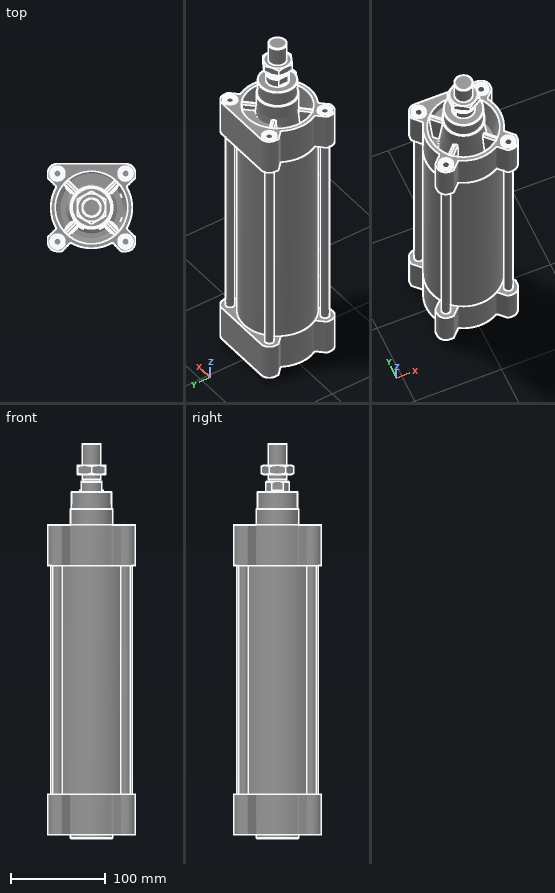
import cadquery as cq
import math


head_width = 93.0
head_length = 43.0
head_face_span = 327.6
rear_face_z = -head_face_span

bolt_offset = 36.0
half_width = head_width / 2
ear_radius = half_width - bolt_offset
ear_flank_start = 31.5
barrel_diameter = 86.0
tube_diameter = 86.4
ear_fillet = 2.0
tie_rod_diameter = 10.0

recess_depth = 33.0
top_recess_depth = 9.0
recess_rim_radius = 38.4
recess_floor_radius = 33.6
hub_top_radius = 22.5
hub_floor_radius = 26.5
rib_ridge_depth = 1.5
rib_shoulder_depth = 2.9
rib_shoulder_width = 5.2
recess_fillet = 1.2
rib_base_width = 9.0

sleeve_hole_diameter = 15.8
sleeve_diameter = 15.0
sleeve_gap_depth = 2.0
sleeve_thread_diameter = 10.0
sleeve_core_diameter = 8.0
sleeve_chamfer = 1.25
sleeve_bore_depth = 20.0

collar_diameter = 45.0
collar_height = 17.0
neck_base_diameter = 43.0
neck_top_diameter = 42.4
neck_top_z = 35.3
collar_chamfer = 0.6
rear_collar_height = 4.0
rear_collar_chamfer = 1.0

rod_diameter = 25.0
rod_shoulder_z = 46.0
rod_shoulder_chamfer = 1.0
rod_end_length = 40.0
rod_end_z = rod_shoulder_z + rod_end_length
rod_inner_z = -head_length
thread_diameter = 20.0
thread_chamfer = 0.8
undercut_diameter = 17.9
undercut_length = 2.5
flat_width = 22.0
flat_clearance = 1.2
flat_bottom_z = neck_top_z + flat_clearance

nut_width = 30.0
nut_height = 10.0
nut_bottom_z = 53.2
nut_face_diameter = 29.4
nut_chamfer_angle = 30.0


def cylinder(diameter, bottom_z, top_z):
    """Round bar on the Z axis between two heights."""
    return cq.Workplane("XY").workplane(offset=bottom_z).circle(diameter / 2).extrude(top_z - bottom_z)


def bolt_points():
    return [(sx * bolt_offset, sy * bolt_offset) for sx in (-1, 1) for sy in (-1, 1)]


def corner_ear(quarter_turns, bottom_z):
    """Corner of a head: rounded outside, with two 45 degree flanks running in to the barrel."""
    inner = ear_flank_start - half_width / 2
    mid = bolt_offset + ear_radius * math.sqrt(0.5)
    return (
        cq.Workplane("XY").workplane(offset=bottom_z)
        .moveTo(half_width / 2, inner)
        .lineTo(half_width, ear_flank_start)
        .lineTo(half_width, bolt_offset)
        .threePointArc((mid, mid), (bolt_offset, half_width))
        .lineTo(ear_flank_start, half_width)
        .lineTo(inner, half_width / 2)
        .close()
        .extrude(head_length)
        .rotate((0, 0, 0), (0, 0, 1), 90 * quarter_turns)
    )


def flank_end_edges(body, bottom_z):
    """Vertical edges at the outer corner and the root of every flank the flat +Y side leaves open."""
    lead = half_width - ear_flank_start
    root_near = (math.sqrt(barrel_diameter ** 2 / 2 - lead ** 2) - lead) / 2
    mid_z = bottom_z + head_length / 2
    edges = []
    for far, near in ((half_width, ear_flank_start), (root_near + lead, root_near)):
        for side in (-1, 1):
            for x, y in ((far, near), (far, -near), (near, -far)):
                nearest = cq.selectors.NearestToPointSelector((side * x, y, mid_z))
                edges += body.edges("|Z").edges(nearest).vals()
    return edges


def head(bottom_z):
    """Round barrel with four ears; the +Y side is filled out to one flat face."""
    body = cylinder(barrel_diameter, bottom_z, bottom_z + head_length)
    for quarter_turns in range(4):
        body = body.union(corner_ear(quarter_turns, bottom_z))
    flat_side = (
        cq.Workplane("XY").workplane(offset=bottom_z)
        .center(0, (half_width + ear_flank_start) / 2)
        .rect(2 * bolt_offset, half_width - ear_flank_start)
        .extrude(head_length)
    )
    body = body.union(flat_side)
    return body.newObject(flank_end_edges(body, bottom_z)).fillet(ear_fillet)


def recess_ring():
    """Annular recess with drafted walls, open at the head face."""
    return (
        cq.Workplane("XZ")
        .polyline([(hub_top_radius, 0), (recess_rim_radius, 0), (recess_floor_radius, -recess_depth),
                   (hub_floor_radius, -recess_depth)])
        .close()
        .revolve(360, (0, 0, 0), (0, 1, 0))
    )


def recess_ribs():
    """Two crossed diagonal walls that part the recess into four pockets: gabled crest, drafted sides."""
    wall = (
        cq.Workplane("XZ")
        .polyline([
            (-rib_base_width / 2, -recess_depth),
            (rib_base_width / 2, -recess_depth),
            (rib_shoulder_width / 2, -rib_shoulder_depth),
            (0, -rib_ridge_depth),
            (-rib_shoulder_width / 2, -rib_shoulder_depth),
        ])
        .close()
        .extrude(barrel_diameter / 2, both=True)
    )
    axis = ((0, 0, 0), (0, 0, 1))
    return wall.rotate(*axis, 45).union(wall.rotate(*axis, -45))


def recess():
    """Volume removed from the front head: the recess less its ribs and its raised +Y floor."""
    reach = 2 * recess_rim_radius
    top_floor = (
        cq.Workplane("XY").workplane(offset=-recess_depth)
        .polyline([(0, 0), (reach, reach), (-reach, reach)]).close()
        .extrude(recess_depth - top_recess_depth)
    )
    pockets = recess_ring().cut(top_floor).cut(recess_ribs())
    return pockets.faces("|Z").faces("not >Z").edges("%CIRCLE").fillet(recess_fillet)


def sleeve_cuts():
    """Threaded bore of each tie rod sleeve and the thin gap around its bevelled end."""
    gap = (
        cq.Workplane("XY").pushPoints(bolt_points())
        .circle(sleeve_hole_diameter / 2).circle(sleeve_diameter / 2)
        .extrude(-sleeve_gap_depth)
    )
    bore = (
        cq.Workplane("XY").pushPoints(bolt_points())
        .circle(sleeve_core_diameter / 2).extrude(-sleeve_bore_depth)
    )
    countersink_depth = (sleeve_thread_diameter - sleeve_core_diameter) / 2
    countersink = (
        cq.Workplane("XY").pushPoints(bolt_points())
        .circle(sleeve_thread_diameter / 2).extrude(-countersink_depth, taper=45)
    )
    bevel = (
        cq.Workplane("XY").pushPoints(bolt_points())
        .circle(sleeve_diameter / 2).extrude(-sleeve_chamfer)
    )
    bevel = bevel.cut(
        cq.Workplane("XY").workplane(offset=-sleeve_chamfer).pushPoints(bolt_points())
        .circle(sleeve_diameter / 2).extrude(sleeve_chamfer, taper=45)
    )
    return gap, bevel, bore, countersink


def make_housing():
    """Both heads, the tube, the tie rods and the collars, bored for the piston rod."""
    front_head_z = -head_length
    rear_head_top_z = rear_face_z + head_length
    tube = cylinder(tube_diameter, rear_head_top_z, front_head_z)
    tie_rods = (
        cq.Workplane("XY").workplane(offset=rear_head_top_z)
        .pushPoints(bolt_points()).circle(tie_rod_diameter / 2)
        .extrude(front_head_z - rear_head_top_z)
    )
    front_head = head(front_head_z).cut(recess())
    for cut in sleeve_cuts():
        front_head = front_head.cut(cut)
    collar = cylinder(collar_diameter, 0, collar_height).faces(">Z").chamfer(collar_chamfer)
    neck = (
        cq.Workplane("XY").workplane(offset=collar_height).circle(neck_base_diameter / 2)
        .workplane(offset=neck_top_z - collar_height).circle(neck_top_diameter / 2)
        .loft().faces(">Z").chamfer(collar_chamfer)
    )
    rear_collar = (
        cylinder(collar_diameter, rear_face_z - rear_collar_height, rear_face_z)
        .faces("<Z").chamfer(rear_collar_chamfer)
    )
    body = head(rear_face_z)
    for part in (front_head, tube, tie_rods, collar, neck, rear_collar):
        body = body.union(part, clean=False)
    return body.cut(cylinder(rod_diameter, rod_inner_z, neck_top_z))


def make_piston_rod():
    """Rod with spanner flats, a thread undercut and a threaded end."""
    undercut_top_z = rod_shoulder_z + undercut_length
    shank = (
        cylinder(rod_diameter, rod_inner_z, rod_shoulder_z)
        .faces(">Z").chamfer(rod_shoulder_chamfer)
    )
    flats = (
        cq.Workplane("XY").workplane(offset=flat_bottom_z)
        .rect(2 * rod_diameter, 2 * rod_diameter).rect(flat_width, 2 * rod_diameter)
        .extrude(rod_shoulder_z - flat_bottom_z)
    )
    undercut = cylinder(undercut_diameter, rod_shoulder_z, undercut_top_z)
    thread = cylinder(thread_diameter, undercut_top_z, rod_end_z).faces(">Z").chamfer(thread_chamfer)
    return shank.cut(flats).union(undercut).union(thread)


def make_nut():
    """Hexagon nut with flats facing +-X and both faces chamfered to a cone."""
    corner_diameter = nut_width / math.cos(math.pi / 6)
    corner_radius = corner_diameter / 2
    face_radius = nut_face_diameter / 2
    cone_height = (corner_radius - face_radius) * math.tan(math.radians(nut_chamfer_angle))
    hexagon = (
        cq.Workplane("XY").polygon(6, corner_diameter).extrude(nut_height)
        .rotate((0, 0, 0), (0, 0, 1), 30)
    )
    envelope = (
        cq.Workplane("XZ")
        .polyline([
            (0, 0),
            (face_radius, 0),
            (corner_radius, cone_height),
            (corner_radius, nut_height - cone_height),
            (face_radius, nut_height),
            (0, nut_height),
        ])
        .close().revolve(360, (0, 0, 0), (0, 1, 0))
    )
    nut = hexagon.intersect(envelope).cut(cylinder(thread_diameter, 0, nut_height))
    return nut.translate((0, 0, nut_bottom_z))


housing = make_housing()
piston_rod = make_piston_rod()
nut = make_nut()

result = cq.Compound.makeCompound([housing.val(), piston_rod.val(), nut.val()])